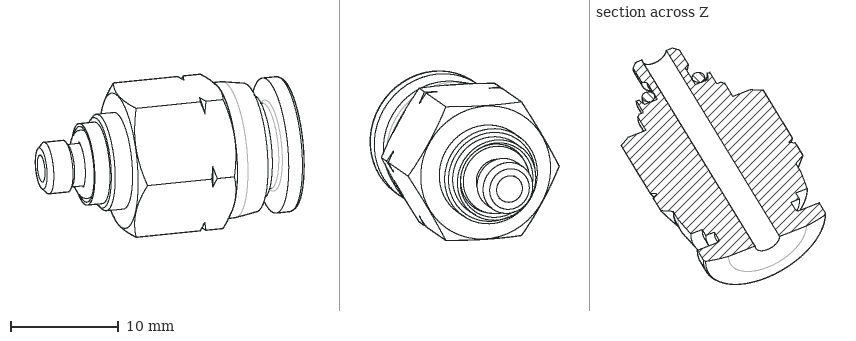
import cadquery as cq
import math


bore_dia = 2.5
tip_dia = 4.82
tip_face_dia = 3.85
tip_chamfer = 0.5
tip_end = 2.35
neck_dia = 3.95
neck_start = 2.65

spigot_face = 4.05
spigot_dia = 7.6
shoulder_start = 5.52
shoulder_dia = 9.0
shoulder_chamfer = 0.3

ring_section = 1.2
ring_front = 3.53
ring_center_radius = (neck_dia + ring_section) / 2
ring_center_y = ring_front + ring_section / 2
recess_mouth_dia = 7.05
recess_floor_dia = 6.55
recess_floor = ring_front + ring_section

hex_flats = 12.7
hex_corners = hex_flats / math.cos(math.radians(30))
hex_start = 7.5
hex_end = 17.1
hex_face_dia = 12.6
hex_chamfer_angle = 30
notch_y = 14.57
notch_depth = 0.5
notch_half_width = 0.275

collar_dia = hex_flats
collar_taper_start = 18.1
collar_end = 20.14
collar_end_dia = 12.02

sleeve_base_dia = 9.7
sleeve_base_end = 20.9
sleeve_dia = 7.95
sleeve_flare = 0.26
flange_start = 22.05
flange_dia = 12.6
flange_edge_start = 23.38
flange_edge_end = 23.6
flange_edge_inset = 0.12
crown_sag = 0.05
crown_dia = 8.02
overall_length = 24.0


def revolve_about_axis(profile):
    """Revolve a closed (radius, Y) profile about the Y axis."""
    return profile.close().revolve(360, (0, 0, 0), (0, 1, 0))


def make_front_spigot():
    """Threaded tip, neck and stepped spigot, up to the hexagon."""
    shoulder_radius = shoulder_dia / 2
    return revolve_about_axis(
        cq.Workplane("XY")
        .moveTo(0, 0)
        .lineTo(tip_face_dia / 2, 0)
        .lineTo(tip_dia / 2, tip_chamfer)
        .lineTo(tip_dia / 2, tip_end)
        .lineTo(neck_dia / 2, neck_start)
        .lineTo(neck_dia / 2, recess_floor)
        .lineTo(recess_floor_dia / 2, recess_floor)
        .lineTo(recess_mouth_dia / 2, spigot_face)
        .lineTo(spigot_dia / 2, spigot_face)
        .lineTo(spigot_dia / 2, shoulder_start)
        .lineTo(shoulder_radius - shoulder_chamfer, shoulder_start)
        .lineTo(shoulder_radius, shoulder_start + shoulder_chamfer)
        .lineTo(shoulder_radius, hex_start)
        .lineTo(0, hex_start)
    )


def make_hexagon():
    """Hexagon with turned corner chamfers and a V groove across its corners."""
    corner_radius = hex_corners / 2
    face_radius = hex_face_dia / 2
    prism = (
        cq.Workplane("XZ", origin=(0, hex_start, 0))
        .polygon(6, hex_corners)
        .extrude(hex_start - hex_end)
    )
    chamfer_height = (corner_radius - face_radius) * math.tan(math.radians(hex_chamfer_angle))
    turned_envelope = revolve_about_axis(
        cq.Workplane("XY")
        .moveTo(0, hex_start)
        .lineTo(face_radius, hex_start)
        .lineTo(corner_radius, hex_start + chamfer_height)
        .lineTo(corner_radius, notch_y - notch_half_width)
        .lineTo(corner_radius - notch_depth, notch_y)
        .lineTo(corner_radius, notch_y + notch_half_width)
        .lineTo(corner_radius, hex_end - chamfer_height)
        .lineTo(face_radius, hex_end)
        .lineTo(0, hex_end)
    )
    return prism.intersect(turned_envelope)


def make_collar_and_sleeve():
    """Tapered collar, release sleeve and crowned push flange."""
    sleeve_radius = sleeve_dia / 2
    flare_radius = sleeve_radius + sleeve_flare
    flare_start = flange_start - sleeve_flare
    arc_offset = sleeve_flare * math.sin(math.radians(45))
    flange_radius = flange_dia / 2
    crown_edge_radius = flange_radius - flange_edge_inset
    crown_mid_radius = (crown_edge_radius + crown_dia / 2) / 2
    crown_mid_y = (flange_edge_end + overall_length) / 2 + crown_sag
    return revolve_about_axis(
        cq.Workplane("XY")
        .moveTo(0, hex_end)
        .lineTo(collar_dia / 2, hex_end)
        .lineTo(collar_dia / 2, collar_taper_start)
        .lineTo(collar_end_dia / 2, collar_end)
        .lineTo(sleeve_base_dia / 2, collar_end)
        .lineTo(sleeve_base_dia / 2, sleeve_base_end)
        .lineTo(sleeve_radius, sleeve_base_end)
        .lineTo(sleeve_radius, flare_start)
        .threePointArc(
            (flare_radius - arc_offset, flare_start + arc_offset),
            (flare_radius, flange_start),
        )
        .lineTo(flange_radius, flange_start)
        .lineTo(flange_radius, flange_edge_start)
        .lineTo(crown_edge_radius, flange_edge_end)
        .threePointArc((crown_mid_radius, crown_mid_y), (crown_dia / 2, overall_length))
        .lineTo(0, overall_length)
    )


def make_fitting():
    """Complete fitting with its through bore."""
    bore = cq.Workplane("XZ").circle(bore_dia / 2).extrude(-overall_length)
    return make_front_spigot().union(make_hexagon()).union(make_collar_and_sleeve()).cut(bore)


def make_sealing_ring():
    """Round-section ring around the neck, seated on the recess floor."""
    return (
        cq.Workplane("XY")
        .center(ring_center_radius, ring_center_y)
        .circle(ring_section / 2)
        .revolve(360, (-ring_center_radius, 0, 0), (-ring_center_radius, 1, 0))
    )


fitting = make_fitting()
sealing_ring = make_sealing_ring()
result = cq.Compound.makeCompound([fitting.val(), sealing_ring.val()])